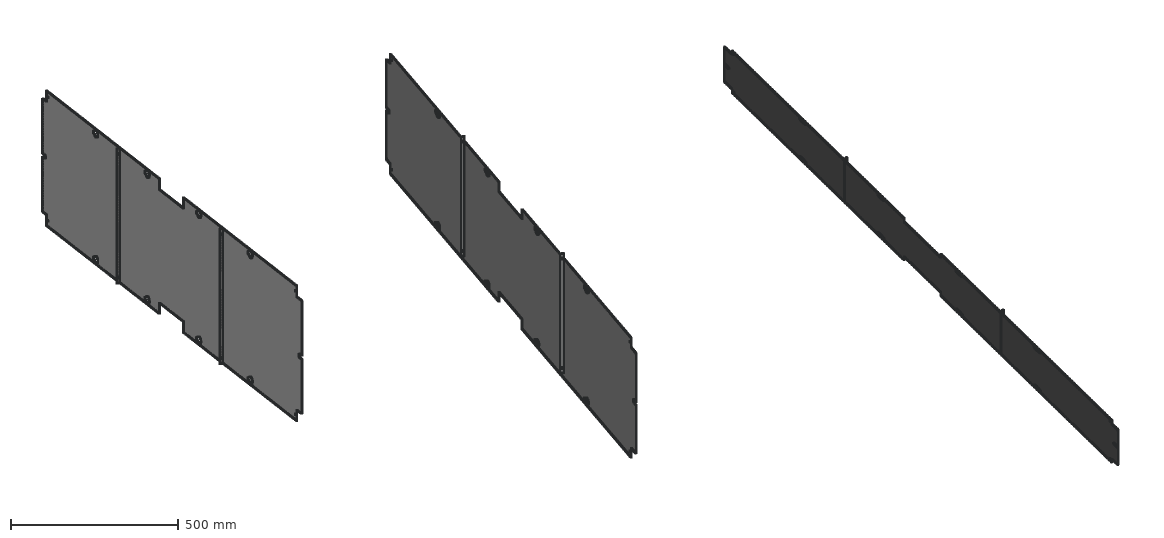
import cadquery as cq

length = 1676.0
height = 441.0
total_depth = 12.7
plate_thickness = 2.5
strip_depth = total_depth - plate_thickness
plate_back = total_depth / 2
plate_front = plate_back - plate_thickness

pattern_x = -5.0
strip_spacing = 665.0
keyhole_pitch = strip_spacing / 2
keyhole_count = 4

step_height = 35.0
left_step = 27.0
right_step = 34.0
tab_corner_radius = 5.0

notch_width = 156.0
notch_depth = 35.0

keyhole_radius = 12.0
keyhole_slot_width = 10.0
keyhole_offset = 12.5
keyhole_edge_distance = 14.2

end_slot_width = 12.5
end_slot_depth = 20.0

small_hole_radius = 2.5
small_hole_edge_distance = 18.0
small_hole_inset = 7.0

strip_width = 3.0

left = -length / 2
right = length / 2
shoulder_left = left + left_step
shoulder_right = right - right_step
small_hole_z = height / 2 - small_hole_edge_distance


def through_block(x_min, x_max, z, block_height):
    """Rectangular cutter that passes right through along Y."""
    block = cq.Workplane("XY").box(x_max - x_min, 2 * total_depth, block_height)
    return block.translate(((x_min + x_max) / 2, 0, z))


def through_disc(x, z, radius):
    """Round cutter that passes right through along Y."""
    return cq.Workplane("XZ").center(x, z).circle(radius).extrude(total_depth, both=True)


def end_slot(edge_x, inward):
    """Round-ended slot running inward (+1 or -1 along X) from a short edge."""
    round_x = edge_x + inward * (end_slot_depth - end_slot_width / 2)
    slot = through_block(min(edge_x, round_x), max(edge_x, round_x), 0, end_slot_width)
    return slot.union(through_disc(round_x, 0, end_slot_width / 2))


def keyhole(seat_x, z):
    """Round entry hole with a narrow round-ended slot leading left to the seat."""
    entry_x = seat_x + keyhole_offset
    entry = through_disc(entry_x, z, keyhole_radius)
    slot = through_block(seat_x, entry_x, z, keyhole_slot_width)
    seat = through_disc(seat_x, z, keyhole_slot_width / 2)
    return entry.union(slot).union(seat)


def make_blank():
    """Plate outline with stepped corners and rounded tab corners."""
    blank = cq.Workplane("XY").box(length, plate_thickness, height)
    blank = blank.translate((0, plate_back - plate_thickness / 2, 0))
    for side in (-1, 1):
        step_z = side * (height - step_height) / 2
        blank = blank.cut(through_block(left, shoulder_left, step_z, step_height))
        blank = blank.cut(through_block(shoulder_right, right, step_z, step_height))
    return blank.edges("|Y").edges("<X or >X").fillet(tab_corner_radius)


def make_plate():
    plate = make_blank()
    notch_left = pattern_x - notch_width / 2
    notch_right = pattern_x + notch_width / 2
    small_hole_places = (shoulder_left + small_hole_inset, shoulder_right - small_hole_inset)

    for side in (-1, 1):
        notch_z = side * (height - notch_depth) / 2
        plate = plate.cut(through_block(notch_left, notch_right, notch_z, notch_depth))

        keyhole_z = side * (height / 2 - keyhole_edge_distance)
        for index in range(keyhole_count):
            seat_x = pattern_x + (index - (keyhole_count - 1) / 2) * keyhole_pitch
            plate = plate.cut(keyhole(seat_x, keyhole_z))

        for hole_x in small_hole_places:
            plate = plate.cut(through_disc(hole_x, side * small_hole_z, small_hole_radius))

    plate = plate.cut(end_slot(left, 1))
    return plate.cut(end_slot(right, -1))


def make_strip(x):
    """Upright strip with a small hole along X near each end."""
    strip = cq.Workplane("XY").box(strip_width, strip_depth, height)
    holes = (
        cq.Workplane("YZ")
        .pushPoints([(0, -small_hole_z), (0, small_hole_z)])
        .circle(small_hole_radius)
        .extrude(strip_width, both=True)
    )
    return strip.cut(holes).translate((x, plate_front - strip_depth / 2, 0))


plate = make_plate()
strips = [make_strip(pattern_x + side * strip_spacing / 2) for side in (-1, 1)]

result = cq.Compound.makeCompound([plate.val(), *[strip.val() for strip in strips]])